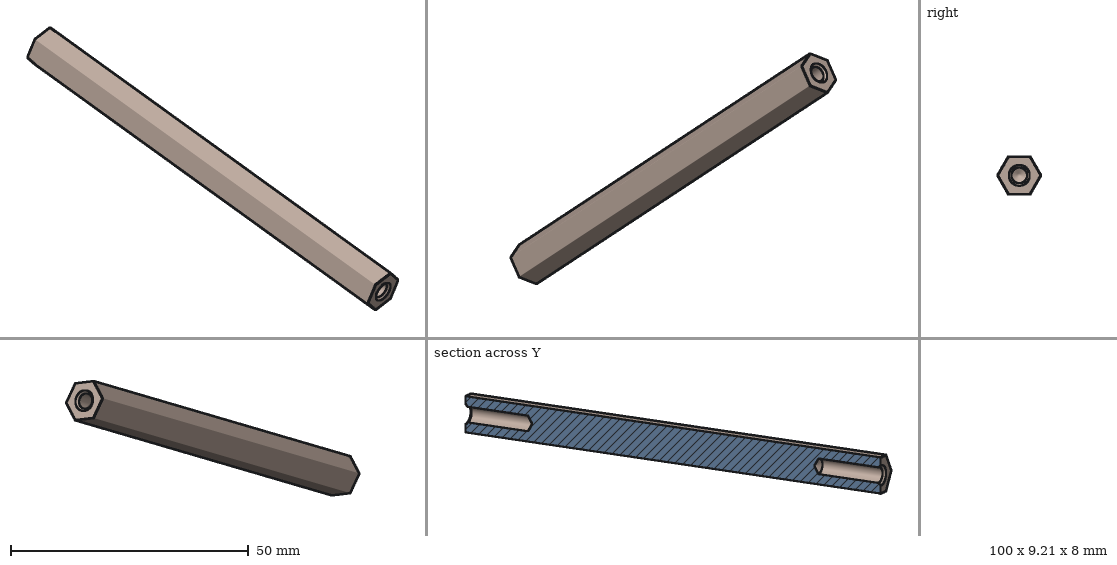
import cadquery as cq
import math

length = 100.0
across_flats = 8.0
corner_radius = 0.1
end_chamfer = 0.1
hole_diameter = 3.3
mouth_diameter = 4.4
hole_depth = 15.0
drill_point_angle = 118.0

across_corners = across_flats / math.cos(math.radians(30))


def hexagonal_bar():
    """Hexagon along X with flats facing up and down, corners rounded and ends chamfered."""
    bar = cq.Workplane("YZ").polygon(6, across_corners).extrude(length)
    bar = bar.edges("|X").fillet(corner_radius)
    return bar.faces("<X or >X").chamfer(end_chamfer)


def blind_hole():
    """Drilled hole entering at X = 0, with a 45 degree countersink and a conical bottom."""
    hole_radius = hole_diameter / 2
    mouth_radius = mouth_diameter / 2
    countersink_depth = mouth_radius - hole_radius
    point_length = hole_radius / math.tan(math.radians(drill_point_angle / 2))
    profile = [
        (0, 0),
        (0, mouth_radius),
        (countersink_depth, hole_radius),
        (hole_depth, hole_radius),
        (hole_depth + point_length, 0),
    ]
    return cq.Workplane("XY").polyline(profile).close().revolve(360, (0, 0, 0), (1, 0, 0))


near_hole = blind_hole()
far_hole = near_hole.mirror("YZ").translate((length, 0, 0))

result = hexagonal_bar().cut(near_hole).cut(far_hole)